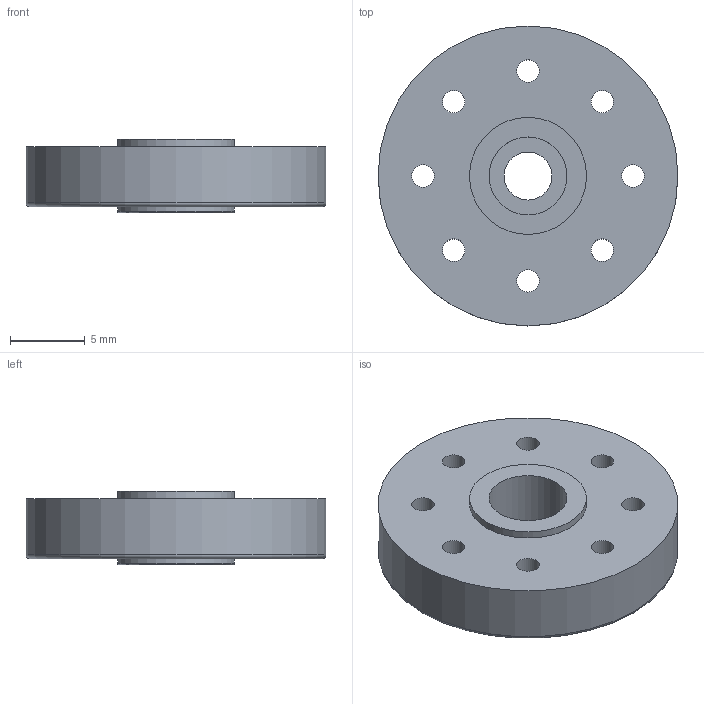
import cadquery as cq

DISC_DIAMETER = 20.0
DISC_THICKNESS = 4.0
DISC_EDGE_RADIUS = 0.25

HUB_DIAMETER = 7.8
HUB_RISE_ABOVE = 0.5
HUB_RISE_BELOW = 0.4
HUB_EDGE_RADIUS = 0.1

POCKET_DIAMETER = 5.2
POCKET_FLOOR_THICKNESS = 0.9
BORE_DIAMETER = 3.2

HOLE_COUNT = 8
HOLE_DIAMETER = 1.5
HOLE_CIRCLE_DIAMETER = 14.0

HUB_HEIGHT = HUB_RISE_BELOW + DISC_THICKNESS + HUB_RISE_ABOVE


def cylinder(diameter, bottom, height):
    """Cylinder on the Z axis, starting at the given height."""
    return cq.Workplane("XY").workplane(offset=bottom).circle(diameter / 2).extrude(height)


def make_disc():
    """Disc with a rounded lower rim."""
    disc = cylinder(DISC_DIAMETER, HUB_RISE_BELOW, DISC_THICKNESS)
    return disc.faces("<Z").edges().fillet(DISC_EDGE_RADIUS)


def make_hub():
    """Hub with a rounded lower rim."""
    hub = cylinder(HUB_DIAMETER, 0, HUB_HEIGHT)
    return hub.faces("<Z").edges().fillet(HUB_EDGE_RADIUS)


def make_stepped_bore():
    """Material removed by the through bore and the wider pocket above it."""
    bore = cylinder(BORE_DIAMETER, 0, HUB_HEIGHT)
    pocket = cylinder(POCKET_DIAMETER, POCKET_FLOOR_THICKNESS, HUB_HEIGHT - POCKET_FLOOR_THICKNESS)
    return bore.union(pocket)


def make_hole_ring():
    """Material removed by the evenly spaced holes, the first one on +X."""
    return (
        cq.Workplane("XY")
        .polarArray(HOLE_CIRCLE_DIAMETER / 2, 0, 360, HOLE_COUNT)
        .circle(HOLE_DIAMETER / 2)
        .extrude(HUB_HEIGHT)
    )


result = make_disc().union(make_hub()).cut(make_stepped_bore()).cut(make_hole_ring())